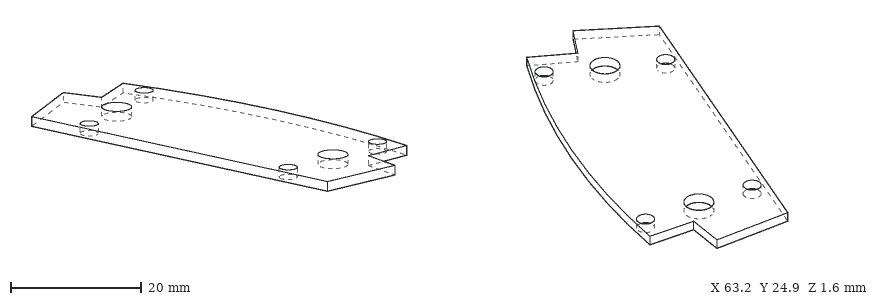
import cadquery as cq

thickness = 1.6
height = 24.9

base_half_width = 28.15
wing_half_width = 31.6
wing_tip_height = 12.9
notch_half_width = 25.4
notch_height = 14.4
shoulder_half_width = 27.0
shoulder_height = 22.15

small_diameter = 2.8
large_diameter = 4.6
small_hole_centers = [(22.2, 21.1), (18.95, 2.4)]
large_hole_centers = [(20.6, 11.75)]


def mirrored(centers):
    """Return the centres together with their reflections across X = 0."""
    return [(side * x, y) for x, y in centers for side in (1, -1)]


def make_plate():
    """Tapered plate with side wings and a crowned top edge."""
    return (
        cq.Workplane("XY")
        .moveTo(-base_half_width, 0)
        .lineTo(base_half_width, 0)
        .lineTo(wing_half_width, wing_tip_height)
        .lineTo(notch_half_width, notch_height)
        .lineTo(shoulder_half_width, shoulder_height)
        .threePointArc((0, height), (-shoulder_half_width, shoulder_height))
        .lineTo(-notch_half_width, notch_height)
        .lineTo(-wing_half_width, wing_tip_height)
        .close()
        .extrude(thickness)
    )


def make_holes(centers, diameter):
    """Cylinders through the full plate thickness."""
    return cq.Workplane("XY").pushPoints(mirrored(centers)).circle(diameter / 2).extrude(thickness)


result = (
    make_plate()
    .cut(make_holes(small_hole_centers, small_diameter))
    .cut(make_holes(large_hole_centers, large_diameter))
)